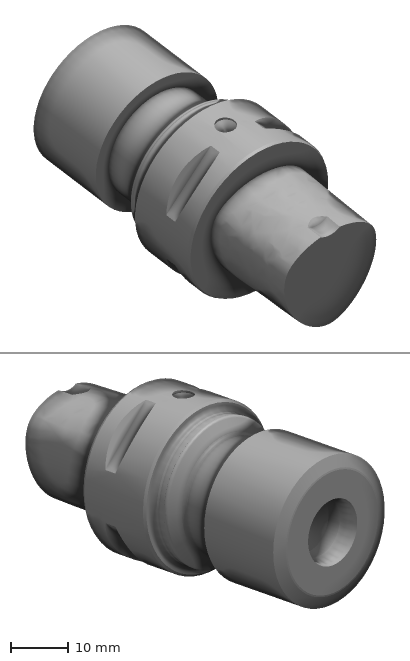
import cadquery as cq
import math

overall_length = 64

nut_dia = 28.0
nut_length = 17.55
nut_bevel_length = 0.9
nut_face_dia = 22.8
face_edge_dia = 23.4
face_edge_length = 0.05

neck_dia = 22.0
shoulder_start_x = 25.1
flare_angle = 60
neck_fillet = 0.9
shoulder_fillet = 0.65
groove_dia = 27.8
groove_start_x = 27.25
groove_end_x = 29.0
groove_front_wall_length = 0.1
groove_rear_wall_length = 0.4

collar_dia = 32
collar_start_x = 30.0
collar_end_x = 45.0
collar_chamfer_length = 0.4
collar_chamfer_height = 0.45
collar_rear_rim_length = 0.5
collar_rear_rim_height = 0.25
collar_fillet = 0.95

bore_mouth_dia = 12.35
bore_dia = 11.0
bore_taper_length = 3.6
bore_straight_end = 6.3
drill_point_angle = 118

slot_count = 4
slot_center_x = 39.05
slot_floor_width = 2.4
slot_floor_radius = 14.3
slot_mouth_width = 4.75

dimple_x = 36.0
dimple_dia = 4.0
dimple_wall_depth = 0.5

shank_start_radius = 11.0
shank_taper_ratio = 20
lobe_height = 0.7
outline_point_count = 48
keyway_width = 4.75
keyway_depth = 0.8
keyway_start_x = 60.6
keyway_runout = 1.0

nut_radius = nut_dia / 2
neck_radius = neck_dia / 2
collar_radius = collar_dia / 2
shank_length = overall_length - collar_end_x
shank_end_radius = shank_start_radius - shank_length / shank_taper_ratio / 2
shoulder_end_x = shoulder_start_x + (nut_radius - neck_radius) / math.tan(math.radians(flare_angle))
drill_slope = math.tan(math.radians(drill_point_angle / 2))


def revolve_about_x(points):
    """Turn a closed (x, radius) outline around the X axis."""
    return cq.Workplane("XY").polyline(points).close().revolve(360, (0, 0, 0), (1, 0, 0))


def round_ring(body, x, radius, fillet):
    """Fillet the circular edge of the given radius at the given x."""
    tolerance = 0.0005

    def is_ring(edge):
        return abs(edge.Center().x - x) < tolerance and abs(edge.radius() - radius) < tolerance

    return body.newObject(body.edges("%CIRCLE").filter(is_ring).vals()).fillet(fillet)


def make_body():
    body = revolve_about_x([
        (0, 0),
        (0, nut_face_dia / 2),
        (face_edge_length, face_edge_dia / 2),
        (nut_bevel_length, nut_radius),
        (nut_length, nut_radius),
        (nut_length, neck_radius),
        (shoulder_start_x, neck_radius),
        (shoulder_end_x, nut_radius),
        (groove_start_x, nut_radius),
        (groove_start_x + groove_front_wall_length, groove_dia / 2),
        (groove_end_x - groove_rear_wall_length, groove_dia / 2),
        (groove_end_x, nut_radius),
        (collar_start_x, nut_radius),
        (collar_start_x, collar_radius - collar_chamfer_height),
        (collar_start_x + collar_chamfer_length, collar_radius),
        (collar_end_x - collar_rear_rim_length, collar_radius),
        (collar_end_x, collar_radius - collar_rear_rim_height),
        (collar_end_x, 0),
    ])
    body = round_ring(body, shoulder_start_x, neck_radius, neck_fillet)
    body = round_ring(body, shoulder_end_x, nut_radius, shoulder_fillet)
    return round_ring(body, collar_start_x, nut_radius, collar_fillet)


def make_bore():
    bore_radius = bore_dia / 2
    return revolve_about_x([
        (0, 0),
        (0, bore_mouth_dia / 2),
        (bore_taper_length, bore_radius),
        (bore_straight_end, bore_radius),
        (bore_straight_end + bore_radius / drill_slope, 0),
    ])


def make_slot(angle):
    """Flat-floored slot with flared side walls, cut tangentially at the given angle."""
    floor_half = slot_floor_width / 2
    mouth_half = slot_mouth_width / 2
    slot = (
        cq.Workplane("XZ")
        .polyline([
            (slot_center_x - floor_half, slot_floor_radius),
            (slot_center_x + floor_half, slot_floor_radius),
            (slot_center_x + mouth_half, collar_radius),
            (slot_center_x - mouth_half, collar_radius),
        ])
        .close()
        .extrude(collar_radius, both=True)
    )
    return slot.rotate((0, 0, 0), (1, 0, 0), angle)


def make_dimple():
    dimple_radius = dimple_dia / 2
    depth = dimple_radius / drill_slope
    cone_z = collar_radius - dimple_wall_depth
    wall = cq.Workplane("XY", origin=(dimple_x, 0, cone_z)).circle(dimple_radius).extrude(dimple_wall_depth)
    cone = cq.Solid.makeCone(dimple_radius, 0, depth, cq.Vector(dimple_x, 0, cone_z), cq.Vector(0, 0, -1))
    return wall.union(cq.Workplane(cone))


def lobed_outline(mean_radius):
    """Three-lobed curve whose support distance is mean_radius + lobe_height * sin(3 * angle)."""
    points = []
    for i in range(outline_point_count):
        angle = 2 * math.pi * i / outline_point_count
        support = mean_radius + lobe_height * math.sin(3 * angle)
        slope = 3 * lobe_height * math.cos(3 * angle)
        points.append((
            support * math.cos(angle) - slope * math.sin(angle),
            support * math.sin(angle) + slope * math.cos(angle),
        ))
    return points


def make_shank():
    return (
        cq.Workplane("YZ", origin=(collar_end_x, 0, 0))
        .spline(lobed_outline(shank_start_radius), periodic=True)
        .close()
        .workplane(offset=shank_length)
        .spline(lobed_outline(shank_end_radius), periodic=True)
        .close()
        .loft(ruled=True)
    )


def make_keyway():
    """Round-bottomed keyway along X, with a conical run-out at its inner end."""
    radius = ((keyway_width / 2)**2 + keyway_depth**2) / (2 * keyway_depth)
    floor_z = shank_end_radius - lobe_height - keyway_depth
    cone_length = radius * keyway_runout / keyway_depth
    outline = [
        (keyway_start_x - cone_length, 0),
        (keyway_start_x, radius),
        (overall_length, radius),
        (overall_length, 0),
    ]
    return revolve_about_x(outline).translate((0, 0, floor_z + radius))


result = make_body().union(make_shank()).cut(make_bore()).cut(make_dimple()).cut(make_keyway())
for slot_index in range(slot_count):
    slot_angle = (slot_index + 0.5) * 360 / slot_count
    result = result.cut(make_slot(slot_angle))